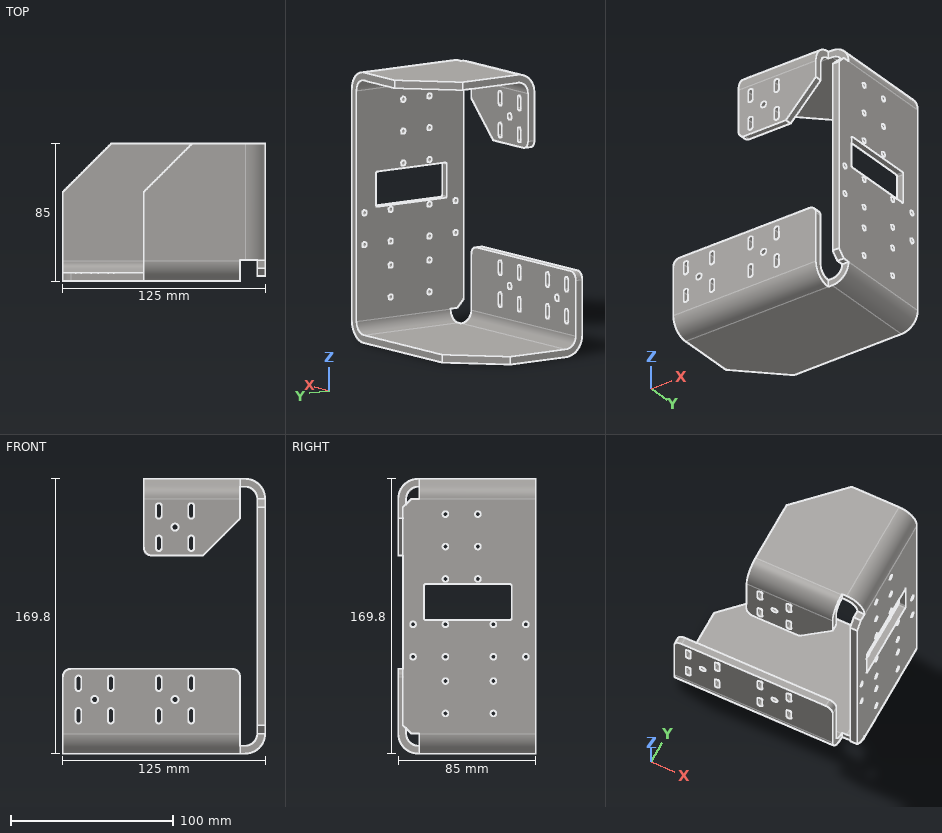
import cadquery as cq

length = 125.0
depth = 85.0
height = 169.8

sheet = 5.0
outer_bend = 12.5
inner_bend = outer_bend - sheet

plate_front_y = 3.0
plate_chamfer = 5.0
plate_hole_diameter = 3.4
window_y = (16.0, 70.0)
window_z = (82.6, 104.7)
window_corner_radius = 1.0

bend_relief = 0.5
shelf_front_y = outer_bend + bend_relief
shelf_side_gap = 15.5
lip_end_x = length - shelf_side_gap
shelf_corner_cut = 30.0
top_start_x = 50.0

top_lip_height = 47.5
bottom_lip_height = 52.5
lip_corner_radius = 5.0
top_lip_corner_cut = 23.0

hole_pitch = 20.0
lip_hole_diameter = 4.2
slot_width = 3.4
slot_travel = 6.0
slot_length = slot_width + slot_travel
first_group_x = 19.7
group_spacing = 49.6
second_group_x = first_group_x + group_spacing
top_group_depth = 29.9
top_group_z = height - top_group_depth
bottom_group_z = 33.5

right_column_y = 29.2
left_column_y = 58.8
upper_columns_y = (right_column_y, right_column_y + hole_pitch)
inner_columns_y = (right_column_y, left_column_y)
outer_columns_y = (right_column_y - hole_pitch, left_column_y + hole_pitch)
upper_row_count = 3
upper_row_depth = 21.9
upper_rows_z = [height - upper_row_depth - row * hole_pitch for row in range(upper_row_count)]
middle_row_z = 59.9
middle_rows_z = (middle_row_z, middle_row_z + hole_pitch)
bottom_row_z = 24.9
bottom_rows_z = (bottom_row_z, bottom_row_z + hole_pitch)


def box(x_range, y_range, z_range):
    """Box spanning the given (low, high) ranges."""
    return cq.Workplane("XY").box(
        x_range[1] - x_range[0],
        y_range[1] - y_range[0],
        z_range[1] - z_range[0],
        centered=False,
    ).translate((x_range[0], y_range[0], z_range[0]))


def make_back_plate():
    """Flat plate between the bends, with its front corners cut and a window."""
    plate = box((length - sheet, length), (plate_front_y, depth), (outer_bend, height - outer_bend))
    plate = plate.edges("|X and <Y").chamfer(plate_chamfer)
    window = box((length - sheet, length), window_y, window_z)
    return plate.cut(window.edges("|X").fillet(window_corner_radius))


def make_bottom_shelf(start_x):
    """Flat shelf with its bend up to the back plate and its rear free corner cut off."""
    bend_x = length - outer_bend
    shelf = (
        cq.Workplane("XZ", origin=(0, depth, 0))
        .moveTo(start_x, 0)
        .lineTo(bend_x, 0)
        .radiusArc((length, outer_bend), -outer_bend)
        .lineTo(length - sheet, outer_bend)
        .radiusArc((bend_x, sheet), inner_bend)
        .lineTo(start_x, sheet)
        .close()
        .extrude(depth - shelf_front_y)
    )
    corner = (
        cq.Workplane("XY")
        .moveTo(start_x, depth)
        .lineTo(start_x + shelf_corner_cut, depth)
        .lineTo(start_x, depth - shelf_corner_cut)
        .close()
        .extrude(sheet)
    )
    return shelf.cut(corner)


def make_bottom_lip(start_x, lip_height):
    """Upright front lip with the bend that joins it to the shelf."""
    return (
        cq.Workplane("YZ", origin=(start_x, 0, 0))
        .moveTo(shelf_front_y, 0)
        .lineTo(outer_bend, 0)
        .radiusArc((0, outer_bend), outer_bend)
        .lineTo(0, lip_height)
        .lineTo(sheet, lip_height)
        .lineTo(sheet, outer_bend)
        .radiusArc((outer_bend, sheet), -inner_bend)
        .lineTo(shelf_front_y, sheet)
        .close()
        .extrude(lip_end_x - start_x)
    )


def flip_to_top(body):
    """Mirror a body from the bottom of the bracket to its top."""
    return body.mirror("XY", (0, 0, height / 2))


def make_bottom_arm():
    """Bottom shelf and a lip with both of its upper corners rounded."""
    lip = make_bottom_lip(0, bottom_lip_height)
    lip = lip.edges("|Y and >Z").fillet(lip_corner_radius)
    return make_bottom_shelf(0).union(lip)


def make_top_arm():
    """Top shelf and a lip with one rounded corner and one sloping corner."""
    lip = make_bottom_lip(top_start_x, top_lip_height)
    lip = lip.edges("|Y and >Z and >X").chamfer(top_lip_corner_cut)
    lip = lip.edges("|Y and >Z and <X").fillet(lip_corner_radius)
    return flip_to_top(make_bottom_shelf(top_start_x).union(lip))


def slot_group(center_x, center_z):
    """Cutter for one group of four upright slots around a round hole."""
    plane = cq.Workplane("XZ", origin=(center_x, 0, center_z))
    hole = plane.circle(lip_hole_diameter / 2).extrude(-sheet)
    slots = plane.rarray(hole_pitch, hole_pitch, 2, 2).slot2D(slot_length, slot_width, 90).extrude(-sheet)
    return hole.union(slots)


def plate_holes(columns_y, rows_z):
    """Cutter for a grid of round holes through the back plate."""
    points = [(y, z) for y in columns_y for z in rows_z]
    return (
        cq.Workplane("YZ", origin=(length - sheet, 0, 0))
        .pushPoints(points)
        .circle(plate_hole_diameter / 2)
        .extrude(sheet)
    )


result = make_back_plate().union(make_bottom_arm()).union(make_top_arm())

for group_x, group_z in (
    (first_group_x, bottom_group_z),
    (second_group_x, bottom_group_z),
    (second_group_x, top_group_z),
):
    result = result.cut(slot_group(group_x, group_z))

for columns, rows in (
    (upper_columns_y, upper_rows_z),
    (inner_columns_y, middle_rows_z),
    (outer_columns_y, middle_rows_z),
    (inner_columns_y, bottom_rows_z),
):
    result = result.cut(plate_holes(columns, rows))